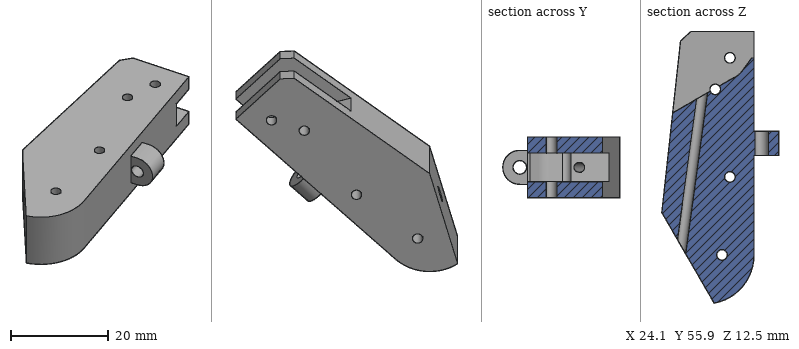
import cadquery as cq
import math


length = 55.85
thickness = 12.5
body_width = 19.0
tip_x = -8.2
corner_y = 18.65
chamfer_outer = (-15.15, 53.9)
chamfer_inner_x = -13.0
nose_radius = 10.05

pin_diameter = 2.1
pivot = (-4.95, 50.45)
pins = [pivot, (-8.0, 43.95), (-4.95, 26.0), (-6.6, 9.95)]

slot_height = 5.85
slot_entry = (-16.7, 39.15)
floor_angle = math.radians(30)
bend_start_x = -4.35
bend_start_angle = math.radians(21)
bend_radius = 4.2
steep_angle = math.radians(54)

passage_diameter = 2.0
passage_inlet = (-14.9, 11.45)
passage_outlet = (-10.65, 42.6)
passage_overrun = 5.6

lug_radius = 3.5
lug_reach = 5.1
lug_hole_diameter = 2.75
lug_start_y = 30.35
lug_width = 5.0


def make_body():
    """Flat bar with slanted sides and one rounded end."""
    nose_center_x = -nose_radius
    nose_rise = math.sqrt(nose_radius**2 - (tip_x - nose_center_x) ** 2)
    mid_angle = -math.acos((tip_x - nose_center_x) / nose_radius) / 2
    nose_mid = (
        nose_center_x + nose_radius * math.cos(mid_angle),
        nose_rise + nose_radius * math.sin(mid_angle),
    )
    return (
        cq.Workplane("XY")
        .moveTo(tip_x, 0)
        .lineTo(-body_width, corner_y)
        .lineTo(*chamfer_outer)
        .lineTo(chamfer_inner_x, length)
        .lineTo(0, length)
        .lineTo(0, nose_rise)
        .threePointArc(nose_mid, (tip_x, 0))
        .close()
        .extrude(thickness / 2, both=True)
    )


def make_slot():
    """Open slot whose floor climbs at a shallow slope, bends and ends level with the pivot."""
    overrun = body_width
    slope = math.tan(floor_angle)
    outer = (slot_entry[0] - overrun, slot_entry[1] - overrun * slope)
    bend_start = (bend_start_x, slot_entry[1] + (bend_start_x - slot_entry[0]) * slope)

    def bend_point(angle):
        return (
            bend_start[0] + bend_radius * (math.sin(angle) - math.sin(bend_start_angle)),
            bend_start[1] + bend_radius * (math.cos(bend_start_angle) - math.cos(angle)),
        )

    bend_end = bend_point(steep_angle)
    steep_top_x = bend_end[0] + (pivot[1] - bend_end[1]) / math.tan(steep_angle)
    return (
        cq.Workplane("XY")
        .moveTo(*outer)
        .lineTo(*bend_start)
        .threePointArc(bend_point((bend_start_angle + steep_angle) / 2), bend_end)
        .lineTo(steep_top_x, pivot[1])
        .lineTo(overrun, pivot[1])
        .lineTo(overrun, length + overrun)
        .lineTo(outer[0], length + overrun)
        .close()
        .extrude(slot_height / 2, both=True)
    )


def make_pin_holes():
    return (
        cq.Workplane("XY", origin=(0, 0, -thickness / 2))
        .pushPoints(pins)
        .circle(pin_diameter / 2)
        .extrude(thickness)
    )


def make_passage():
    start = cq.Vector(*passage_inlet, 0)
    path = cq.Vector(*passage_outlet, 0) - start
    direction = path.normalized()
    return cq.Workplane(
        cq.Solid.makeCylinder(
            passage_diameter / 2,
            path.Length + 2 * passage_overrun,
            start - direction * passage_overrun,
            direction,
        )
    )


def make_lug():
    """Round-ended eye standing out from the flat face, with its hole along Y."""
    eye_x = lug_reach - lug_radius
    return (
        cq.Workplane("XZ", origin=(0, lug_start_y, 0))
        .moveTo(0, -lug_radius)
        .lineTo(eye_x, -lug_radius)
        .threePointArc((lug_reach, 0), (eye_x, lug_radius))
        .lineTo(0, lug_radius)
        .close()
        .moveTo(eye_x, 0)
        .circle(lug_hole_diameter / 2)
        .extrude(-lug_width)
    )


result = (
    make_body()
    .cut(make_slot())
    .cut(make_pin_holes())
    .cut(make_passage())
    .union(make_lug())
)